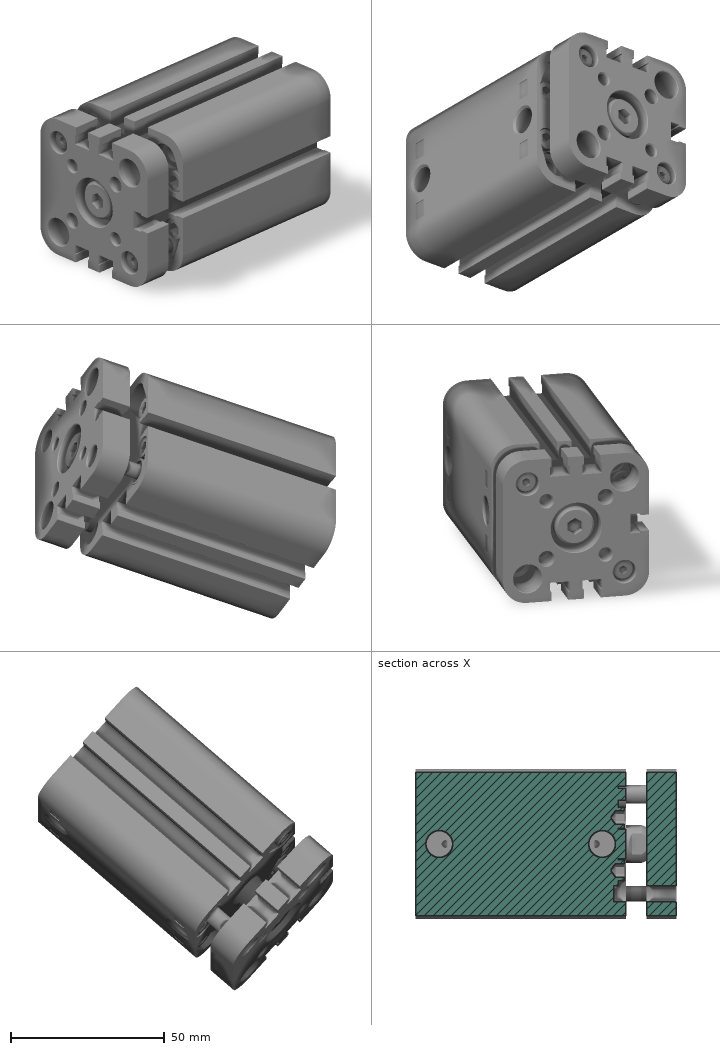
import cadquery as cq
import math


SIDE = 49.0
HALF = SIDE / 2
CORNER_RADIUS = 8.0

BODY_LENGTH = 68.7
PLATE_GAP = 6.6
PLATE_THICKNESS = 9.9
PLATE_BACK = -PLATE_GAP
PLATE_FRONT = PLATE_BACK - PLATE_THICKNESS

SLOT_OFFSET = 5.43
SLOT_DEPTH = 6.3
SLOT_LIP = 2.9
SLOT_WIDTH = 6.6
PLATE_SLOT_NECK = 5.5
BODY_SLOT_NECK = 6.0
PLATE_NECK_CHAMFER = 0.12

CORNER_SPACING = 32.5
CORNER_AXIS = CORNER_SPACING / 2
GUIDE_AXES = [(-CORNER_AXIS, CORNER_AXIS), (CORNER_AXIS, -CORNER_AXIS)]
MOUNT_AXES = [(CORNER_AXIS, CORNER_AXIS), (-CORNER_AXIS, -CORNER_AXIS)]
GUIDE_DIAMETERS = [6.0, 5.0]

MOUNT_HOLE = 4.92
MOUNT_LEAD_IN = 6.0
MOUNT_LEAD_DEPTH = (MOUNT_LEAD_IN - MOUNT_HOLE) / 2
MOUNT_BORE = 9.5
MOUNT_BORE_DEPTH = 4.0
PLATE_ACCESS_HOLE = 9.5
ACCESS_HOLE_CHAMFER = 0.25

BUSH_DIAMETER = 9.0
BUSH_BORE = 7.5
BUSH_BORE_DEPTH = 1.0

CAP_SCREW_X = 20.0
CAP_SCREW_Z = 8.6
CAP_SCREW_HEAD = 7.0
CAP_SCREW_POCKET = 7.5
CAP_SCREW_HEX = 4.0
CAP_SCREW_HEX_DEPTH = 3.0
CAP_POCKET_DEPTH = 2.5
CAP_SCREW_RECESS = 0.5

PISTON_ROD = 12.3
ROD_FLATS = 10.3
FLAT_START = 1.0
ROD_END_CHAMFER = 0.6
ROD_END_CHAMFER_LENGTH = 1.4

CENTRE_BORE = 16.8
CENTRE_BORE_DEPTH = 6.0
CENTRE_BORE_CHAMFER = 0.25
CENTRE_HEAD = 13.0
CENTRE_HEAD_RECESS = 1.6
CENTRE_HEAD_CHAMFER = 0.8
CENTRE_HEX = 5.0
CENTRE_HEX_DEPTH = 3.0
GUIDE_BORE = 7.5
GUIDE_BORE_DEPTH = 5.0
GUIDE_BORE_CHAMFER = 0.3
GUIDE_HEAD = 7.0
GUIDE_HEAD_RECESS = 2.0
GUIDE_HEAD_CHAMFER = 0.4
GUIDE_HEX = 2.5
GUIDE_HEX_DEPTH = 1.5

FIXING_CIRCLE = 28.0
FIXING_AXIS = FIXING_CIRCLE / 2 * math.cos(math.radians(45))
DOWEL_HOLE = 5.2
DOWEL_CHAMFER = 0.15
THREAD_MAJOR = 5.0
THREAD_CORE = 4.13

PORT_FROM_END = 7.8
PORT_DIAMETER = 8.57
PORT_MOUTH = 10.0
PORT_DEPTH = 8.0
AIR_HOLE = 2.5
AIR_HOLE_OFFSET = 2.0
AIR_HOLE_DEPTH = 3.0

LABEL_FROM_END = 7.2
LABEL_Z = 11.1
LABEL_WIDTH = 4.1
LABEL_HEIGHT = 6.0
LABEL_DEPTH = 0.2

OVERLAP = 1.0


def cylinder(axis, diameter, y_start, y_end):
    """Cylinder along Y about the (x, z) axis."""
    x, z = axis
    base = cq.Vector(x, y_start, z)
    return cq.Workplane(cq.Solid.makeCylinder(diameter / 2, y_end - y_start, base, cq.Vector(0, 1, 0)))


def cone(axis, start_diameter, end_diameter, y_start, y_end):
    """Truncated or pointed cone along Y about the (x, z) axis."""
    x, z = axis
    base = cq.Vector(x, y_start, z)
    return cq.Workplane(
        cq.Solid.makeCone(start_diameter / 2, end_diameter / 2, y_end - y_start, base, cq.Vector(0, 1, 0))
    )


def y_prism(points, y_start, y_end):
    """Extrude an (x, z) outline along Y."""
    sketch = cq.Workplane("XZ", origin=(0, y_start, 0)).polyline(points).close()
    return sketch.extrude(y_start - y_end)


def hex_socket(axis, across_flats, y_face, depth):
    """Hexagonal socket, points up and down, with a conical floor of half its depth."""
    x, z = axis
    corner = across_flats / math.sqrt(3)
    angles = [math.radians(90 + 60 * i) for i in range(6)]
    points = [(x + corner * math.cos(a), z + corner * math.sin(a)) for a in angles]
    socket_end = y_face + depth
    tip = cone(axis, across_flats, 0, socket_end, socket_end + depth / 2)
    return y_prism(points, y_face, socket_end).union(tip)


def square_block(y_start, y_end):
    block = cq.Workplane("XY").box(SIDE, y_end - y_start, SIDE)
    block = block.translate((0, (y_start + y_end) / 2, 0))
    return block.edges("|Y").fillet(CORNER_RADIUS)


def t_slot(neck, neck_chamfer, y_start, y_end):
    """T-slot cutter opening upwards through the +Z face, centred on X = 0."""
    mouth_half = neck / 2 + neck_chamfer
    half_outline = [(mouth_half, HALF + OVERLAP)]
    if neck_chamfer > 0:
        half_outline.append((mouth_half, HALF))
    half_outline += [
        (neck / 2, HALF - neck_chamfer),
        (neck / 2, HALF - SLOT_LIP),
        (SLOT_WIDTH / 2, HALF - SLOT_LIP),
        (SLOT_WIDTH / 2, HALF - SLOT_DEPTH),
    ]
    mirrored = [(-x, z) for x, z in reversed(half_outline)]
    return y_prism(half_outline + mirrored, y_start - OVERLAP, y_end + OVERLAP)


def cut_slots(block, neck, neck_chamfer, y_start, y_end):
    slot = t_slot(neck, neck_chamfer, y_start, y_end)
    for x in (-SLOT_OFFSET, SLOT_OFFSET):
        top_slot = slot.translate((x, 0, 0))
        block = block.cut(top_slot).cut(top_slot.mirror("XY"))
    return block.cut(slot.rotate((0, 0, 0), (0, 1, 0), 90))


def tangent_pocket(axis_a, diameter_a, axis_b, diameter_b, depth):
    """Pocket enclosing two circles and the straight tangents between them."""
    dx = axis_b[0] - axis_a[0]
    dz = axis_b[1] - axis_a[1]
    direction = math.atan2(dz, dx)
    spread = math.acos((diameter_a - diameter_b) / 2 / math.hypot(dx, dz))

    def rim(axis, diameter, angle):
        return (axis[0] + diameter / 2 * math.cos(angle), axis[1] + diameter / 2 * math.sin(angle))

    bridge = [
        rim(axis_a, diameter_a, direction + spread),
        rim(axis_b, diameter_b, direction + spread),
        rim(axis_b, diameter_b, direction - spread),
        rim(axis_a, diameter_a, direction - spread),
    ]
    pocket = y_prism(bridge, -OVERLAP, depth)
    pocket = pocket.union(cylinder(axis_a, diameter_a, -OVERLAP, depth))
    return pocket.union(cylinder(axis_b, diameter_b, -OVERLAP, depth))


def add_cap_screws(body):
    """Corner pockets on the front face, each holding an end cap screw."""
    for side_x in (-1, 1):
        for side_z in (-1, 1):
            screw_axis = (side_x * CAP_SCREW_X, side_z * CAP_SCREW_Z)
            corner_axis = (side_x * CORNER_AXIS, side_z * CORNER_AXIS)
            body = body.cut(
                tangent_pocket(screw_axis, CAP_SCREW_POCKET, corner_axis, MOUNT_BORE, CAP_POCKET_DEPTH)
            )
            head = cylinder(screw_axis, CAP_SCREW_HEAD, CAP_SCREW_RECESS, CAP_POCKET_DEPTH + OVERLAP)
            body = body.union(head)
            body = body.cut(hex_socket(screw_axis, CAP_SCREW_HEX, CAP_SCREW_RECESS, CAP_SCREW_HEX_DEPTH))
    return body


def cut_mounting_holes(body):
    for axis in MOUNT_AXES:
        lead_start = MOUNT_BORE_DEPTH
        lead_end = lead_start + MOUNT_LEAD_DEPTH
        body = body.cut(cylinder(axis, MOUNT_BORE, -OVERLAP, lead_start))
        body = body.cut(cone(axis, MOUNT_LEAD_IN, MOUNT_HOLE, lead_start, lead_end))
        body = body.cut(cylinder(axis, MOUNT_HOLE, lead_start, BODY_LENGTH + OVERLAP))
    return body


def add_guide_bushes(body):
    for axis in GUIDE_AXES:
        body = body.union(cylinder(axis, BUSH_DIAMETER, 0, CAP_POCKET_DEPTH + OVERLAP))
        body = body.cut(cylinder(axis, BUSH_BORE, 0, BUSH_BORE_DEPTH))
    return body


def cut_ports(body):
    """Air ports with a chamfered mouth; each air hole sits towards the middle of the body."""
    inward = cq.Vector(1, 0, 0)
    chamfer = (PORT_MOUTH - PORT_DIAMETER) / 2
    ends = [(PORT_FROM_END, 1), (BODY_LENGTH - PORT_FROM_END, -1)]
    for port_y, towards_middle in ends:
        mouth = cq.Vector(-HALF, port_y, 0)
        air_start = cq.Vector(-HALF, port_y + towards_middle * AIR_HOLE_OFFSET, 0)
        body = body.cut(cq.Workplane(cq.Solid.makeCylinder(PORT_DIAMETER / 2, PORT_DEPTH, mouth, inward)))
        body = body.cut(
            cq.Workplane(cq.Solid.makeCone(PORT_MOUTH / 2, PORT_DIAMETER / 2, chamfer, mouth, inward))
        )
        air_length = PORT_DEPTH + AIR_HOLE_DEPTH
        body = body.cut(cq.Workplane(cq.Solid.makeCylinder(AIR_HOLE / 2, air_length, air_start, inward)))
    return body


def cut_label_recesses(body):
    for label_y in (LABEL_FROM_END, BODY_LENGTH - LABEL_FROM_END):
        for label_z in (-LABEL_Z, LABEL_Z):
            recess = cq.Workplane("XY").box(2 * LABEL_DEPTH, LABEL_WIDTH, LABEL_HEIGHT)
            body = body.cut(recess.translate((-HALF, label_y, label_z)))
    return body


def make_body():
    body = square_block(0, BODY_LENGTH)
    body = cut_slots(body, BODY_SLOT_NECK, 0, 0, BODY_LENGTH)
    body = add_cap_screws(body)
    body = cut_mounting_holes(body)
    body = add_guide_bushes(body)
    body = cut_ports(body)
    return cut_label_recesses(body)


def cut_front_hole(plate, axis, diameter, chamfer, y_end):
    """Hole with a chamfered mouth, from the plate front to y_end."""
    plate = plate.cut(cylinder(axis, diameter, PLATE_FRONT, y_end))
    return plate.cut(cone(axis, diameter + 2 * chamfer, diameter, PLATE_FRONT, PLATE_FRONT + chamfer))


def add_plate_screw(
    plate, axis, bore, bore_depth, bore_chamfer, head, recess, head_chamfer, hexagon, hex_depth
):
    """Chamfered counterbore in the plate front with a socket head screw standing in it."""
    bore_floor = PLATE_FRONT + bore_depth
    head_face = PLATE_FRONT + recess
    plate = cut_front_hole(plate, axis, bore, bore_chamfer, bore_floor)
    screw_head = cylinder(axis, head, head_face, bore_floor + OVERLAP)
    screw_head = screw_head.faces("<Y").chamfer(head_chamfer)
    plate = plate.union(screw_head)
    return plate.cut(hex_socket(axis, hexagon, head_face, hex_depth))


def cut_plate_holes(plate):
    back = PLATE_BACK + OVERLAP
    thread_chamfer = (THREAD_MAJOR - THREAD_CORE) / 2
    for axis in MOUNT_AXES:
        plate = cut_front_hole(plate, axis, PLATE_ACCESS_HOLE, ACCESS_HOLE_CHAMFER, back)
    for sign in (-1, 1):
        dowel_axis = (sign * FIXING_AXIS, sign * FIXING_AXIS)
        thread_axis = (sign * FIXING_AXIS, -sign * FIXING_AXIS)
        plate = cut_front_hole(plate, dowel_axis, DOWEL_HOLE, DOWEL_CHAMFER, back)
        plate = cut_front_hole(plate, thread_axis, THREAD_CORE, thread_chamfer, back)
    return plate


def make_plate():
    plate = square_block(PLATE_FRONT, PLATE_BACK)
    plate = cut_slots(plate, PLATE_SLOT_NECK, PLATE_NECK_CHAMFER, PLATE_FRONT, PLATE_BACK)
    plate = cut_plate_holes(plate)
    plate = add_plate_screw(
        plate, (0, 0), CENTRE_BORE, CENTRE_BORE_DEPTH, CENTRE_BORE_CHAMFER,
        CENTRE_HEAD, CENTRE_HEAD_RECESS, CENTRE_HEAD_CHAMFER, CENTRE_HEX, CENTRE_HEX_DEPTH,
    )
    for axis in GUIDE_AXES:
        plate = add_plate_screw(
            plate, axis, GUIDE_BORE, GUIDE_BORE_DEPTH, GUIDE_BORE_CHAMFER,
            GUIDE_HEAD, GUIDE_HEAD_RECESS, GUIDE_HEAD_CHAMFER, GUIDE_HEX, GUIDE_HEX_DEPTH,
        )
    return plate


def make_piston_rod():
    """Rod stub between plate and body, with two flats facing -X and +X that run out at 45 degrees."""
    chamfer_end = PLATE_BACK + ROD_END_CHAMFER_LENGTH
    rod = cone((0, 0), PISTON_ROD - 2 * ROD_END_CHAMFER, PISTON_ROD, PLATE_BACK, chamfer_end)
    rod = rod.union(cylinder((0, 0), PISTON_ROD, chamfer_end, 0))
    flat_depth = (PISTON_ROD - ROD_FLATS) / 2
    flat_outline = [
        (ROD_FLATS / 2, PLATE_BACK),
        (ROD_FLATS / 2, -FLAT_START - flat_depth),
        (PISTON_ROD / 2, -FLAT_START),
        (PISTON_ROD / 2, PLATE_BACK),
    ]
    flat = cq.Workplane("XY").polyline(flat_outline).close().extrude(PISTON_ROD / 2, both=True)
    return rod.cut(flat).cut(flat.mirror("YZ"))


def add_guide_rods(part):
    for axis, diameter in zip(GUIDE_AXES, GUIDE_DIAMETERS):
        part = part.union(cylinder(axis, diameter, PLATE_BACK, BUSH_BORE_DEPTH))
    return part


result = make_body().union(make_plate()).union(make_piston_rod())
result = add_guide_rods(result)